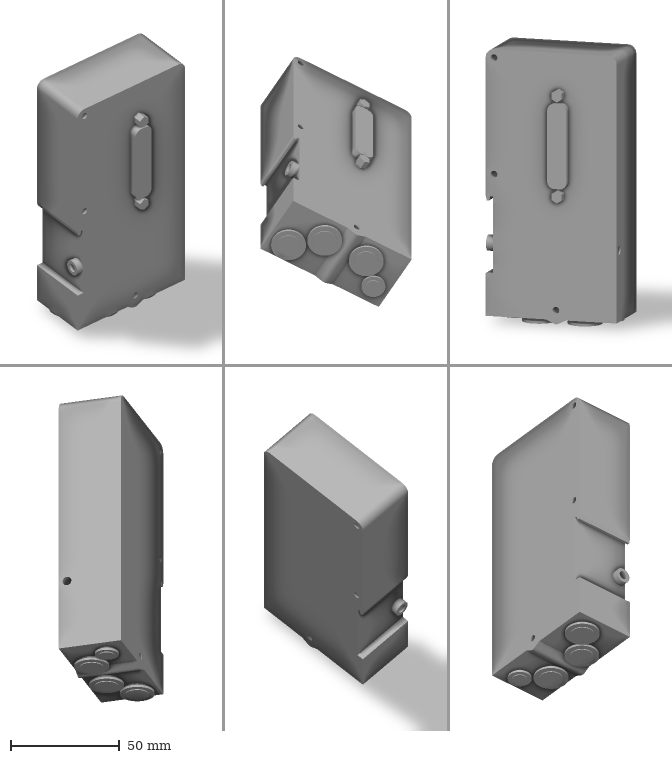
import cadquery as cq
import math

WIDTH = 30.0
DEPTH = 63.0
HEIGHT = 124.8
TOP_CORNER_RADIUS = 4.0

RECESS_DEPTH = 3.4
RECESS_BOTTOM = 20.0
RECESS_TOP = 56.0
LIP_DROP = 2.0
LIP_ROOT_THICKNESS = 2.1
LIP_TAPER = 0.5

MOUNT_HOLE_DIAMETER = 3.2
BOTTOM_HOLE = (33.8, 4.5)
MOUNT_HOLES = [(4.0, 120.8), (4.0, 66.4), BOTTOM_HOLE]

RIDGE_HALF_WIDTH = 4.8
RIDGE_SLOPE = math.radians(26)
RIDGE_TIP_RADIUS = 2.7

PORT_X = 26.0
PORT_Z = 33.5
PORT_DIAMETER = 7.4
PORT_BORE = 4.2

CONNECTOR_Y = 35.5
CONNECTOR_Z = 81.8
CONNECTOR_LENGTH = 39.8
CONNECTOR_WIDTH = 9.3
CONNECTOR_HEIGHT = 4.0
CONNECTOR_CORNER_RADIUS = 3.3
POST_SPACING = 47.2
POST_HEIGHT = 4.5
POST_ACROSS_FLATS = 5.0
POST_SIDES = 6

FLANGE_THICKNESS = 1.1
CAP_THICKNESS = 0.4
LARGE_STEM_LENGTH = 1.62
LARGE_STEM_DIAMETER = 12.2
LARGE_FLANGE_DIAMETER = 16.0
LARGE_CAP_DIAMETER = 11.0
LARGE_FITTINGS = [(9.5, 9.5), (20.0, 22.6), (20.0, 44.7)]
SMALL_STEM_LENGTH = 1.3
SMALL_STEM_DIAMETER = 8.0
SMALL_FLANGE_DIAMETER = 11.0
SMALL_CAP_DIAMETER = 7.2
SMALL_FITTING = (9.5, 54.6)


def rod_along_x(diameter, y, z):
    """Cylinder spanning the housing width."""
    return cq.Workplane("YZ").center(y, z).circle(diameter / 2).extrude(WIDTH)


def make_housing():
    """Side profile in the YZ plane, extruded across the width."""
    lip_bottom = RECESS_TOP - LIP_DROP
    profile = (
        cq.Workplane("YZ")
        .lineTo(DEPTH, 0)
        .lineTo(DEPTH, HEIGHT)
        .lineTo(0, HEIGHT)
        .lineTo(0, RECESS_TOP)
        .lineTo(LIP_TAPER, lip_bottom)
        .lineTo(LIP_ROOT_THICKNESS - LIP_TAPER, lip_bottom)
        .lineTo(LIP_ROOT_THICKNESS, RECESS_TOP)
        .lineTo(RECESS_DEPTH, RECESS_TOP)
        .lineTo(RECESS_DEPTH, RECESS_BOTTOM)
        .lineTo(0, RECESS_BOTTOM)
        .close()
    )
    housing = profile.extrude(WIDTH)
    return housing.edges("|X and >Z").fillet(TOP_CORNER_RADIUS)


def make_ridge():
    """Triangular ridge along X with its lower edge rounded."""
    center_y = BOTTOM_HOLE[0]
    apex_drop = RIDGE_HALF_WIDTH * math.tan(RIDGE_SLOPE)
    return (
        cq.Workplane("YZ")
        .moveTo(center_y - RIDGE_HALF_WIDTH, 0)
        .lineTo(center_y, -apex_drop)
        .lineTo(center_y + RIDGE_HALF_WIDTH, 0)
        .close()
        .extrude(WIDTH)
        .edges("|X and <Z")
        .fillet(RIDGE_TIP_RADIUS)
    )


def make_port():
    return (
        cq.Workplane("XZ", origin=(PORT_X, 0, PORT_Z))
        .circle(PORT_DIAMETER / 2)
        .extrude(-RECESS_DEPTH)
    )


def make_port_bore():
    return (
        cq.Workplane("XZ", origin=(PORT_X, 0, PORT_Z))
        .circle(PORT_BORE / 2)
        .extrude(-DEPTH)
    )


def make_connector():
    return (
        cq.Workplane("YZ", origin=(WIDTH, CONNECTOR_Y, CONNECTOR_Z))
        .rect(CONNECTOR_WIDTH, CONNECTOR_LENGTH)
        .extrude(CONNECTOR_HEIGHT)
        .edges("|X")
        .fillet(CONNECTOR_CORNER_RADIUS)
    )


def make_post(z):
    """Hexagonal post with one corner pointing up."""
    across_corners = POST_ACROSS_FLATS / math.cos(math.pi / POST_SIDES)
    return (
        cq.Workplane("YZ", origin=(WIDTH, CONNECTOR_Y, z))
        .transformed(rotate=(0, 0, 90))
        .polygon(POST_SIDES, across_corners)
        .extrude(POST_HEIGHT)
    )


def disc_below(position, diameter, top_depth, bottom_depth):
    """Vertical disc between two depths under the housing."""
    return (
        cq.Workplane("XY", origin=(*position, -bottom_depth))
        .circle(diameter / 2)
        .extrude(bottom_depth - top_depth)
    )


def make_fitting(position, stem_length, stem_diameter, flange_diameter, cap_diameter):
    """Stack of stem, flange and cap discs hanging below the housing."""
    flange_bottom = stem_length + FLANGE_THICKNESS
    cap_bottom = flange_bottom + CAP_THICKNESS
    stem = disc_below(position, stem_diameter, 0, stem_length)
    flange = disc_below(position, flange_diameter, stem_length, flange_bottom)
    cap = disc_below(position, cap_diameter, flange_bottom, cap_bottom)
    return stem.union(flange).union(cap)


result = make_housing()
result = result.union(make_ridge())
result = result.union(make_port())
result = result.union(make_connector())
for side in (-1, 1):
    result = result.union(make_post(CONNECTOR_Z + side * POST_SPACING / 2))
for position in LARGE_FITTINGS:
    fitting = make_fitting(
        position, LARGE_STEM_LENGTH, LARGE_STEM_DIAMETER, LARGE_FLANGE_DIAMETER, LARGE_CAP_DIAMETER
    )
    result = result.union(fitting)
small_fitting = make_fitting(
    SMALL_FITTING, SMALL_STEM_LENGTH, SMALL_STEM_DIAMETER, SMALL_FLANGE_DIAMETER, SMALL_CAP_DIAMETER
)
result = result.union(small_fitting)
for y, z in MOUNT_HOLES:
    result = result.cut(rod_along_x(MOUNT_HOLE_DIAMETER, y, z))
result = result.cut(make_port_bore())